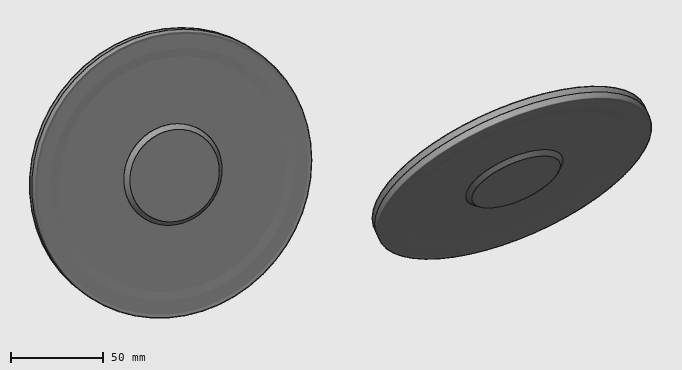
import cadquery as cq

wheel_diameter = 160.0
overall_width = 12.0

lip_width = 8.0
lip_crest_diameter = 158.9
lip_foot_radius = 78.2
lip_height = 0.24

band_outer_radius = 70.4
band_inner_radius = 65.6
web_recess = 0.24

hub_base_radius = 28.3
hub_top_radius = 25.8

wheel_radius = wheel_diameter / 2
lip_crest_radius = lip_crest_diameter / 2
edge_radius = wheel_radius - lip_crest_radius
hub_face = overall_width / 2
lip_crest = lip_width / 2
rim_face = lip_crest - lip_height
web_face = rim_face - web_recess


def wheel_half(side):
    """Solid half of the wheel, from the joint at X = 0 outward; side is -1 or +1."""
    edge_start = (side * (lip_crest - edge_radius), wheel_radius)
    edge_end = (side * lip_crest, lip_crest_radius)
    return (
        cq.Workplane("XY")
        .lineTo(0, wheel_radius)
        .lineTo(*edge_start)
        .tangentArcPoint(edge_end, relative=False)
        .lineTo(side * rim_face, lip_foot_radius)
        .lineTo(side * rim_face, band_outer_radius)
        .lineTo(side * web_face, band_inner_radius)
        .lineTo(side * web_face, hub_base_radius)
        .lineTo(side * hub_face, hub_top_radius)
        .lineTo(side * hub_face, 0)
        .close()
        .revolve(360, (0, 0, 0), (1, 0, 0))
    )


halves = [wheel_half(side) for side in (-1, 1)]

result = cq.Compound.makeCompound([half.val() for half in halves])